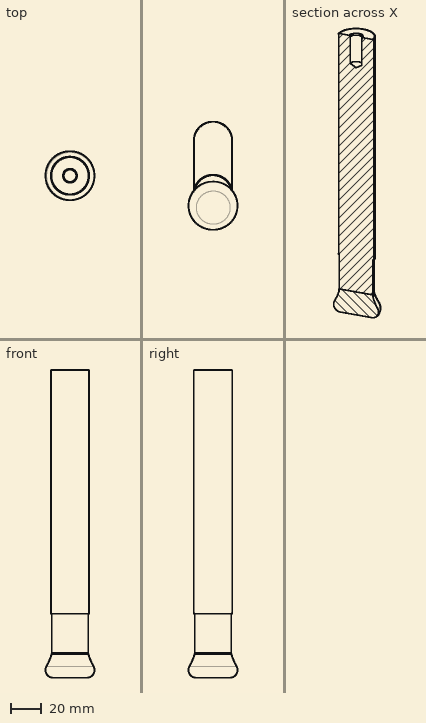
import cadquery as cq
import math

total_height = 200.0

rod_radius = 25.0 / 2
neck_radius = 24.0 / 2
shoulder_height = 41.5
rod_chamfer = rod_radius - neck_radius

hole_radius = 8.0 / 2
countersink_width = 0.5
countersink_depth = 1.0
hole_depth = 20.0
drill_tip_angle = 118.0

foot_height = 16.5
foot_radius = 32.0 / 2
bead_radius = 5.0
bead_top_angle = 30.0
flare_top_height = 15.5


def revolve_profile(profile):
    """Revolve a closed (radius, height) profile about the Z axis."""
    return profile.close().revolve(360, (0, 0, 0), (0, 1, 0))


def make_rod():
    """Rod with a chamfered top, a square shoulder, a neck and a drilled hole."""
    countersink_radius = hole_radius + countersink_width
    hole_bottom = total_height - hole_depth
    tip_depth = hole_radius / math.tan(math.radians(drill_tip_angle / 2))
    return revolve_profile(
        cq.Workplane("XZ")
        .moveTo(0, foot_height)
        .lineTo(neck_radius, foot_height)
        .lineTo(neck_radius, shoulder_height)
        .lineTo(rod_radius, shoulder_height)
        .lineTo(rod_radius, total_height - rod_chamfer)
        .lineTo(rod_radius - rod_chamfer, total_height)
        .lineTo(countersink_radius, total_height)
        .lineTo(hole_radius, total_height - countersink_depth)
        .lineTo(hole_radius, hole_bottom)
        .lineTo(0, hole_bottom - tip_depth)
    )


def make_foot():
    """Foot whose bead runs smoothly into a hollow flare and a short collar as wide as the neck."""
    bead_center_radius = foot_radius - bead_radius
    bead_angle = math.radians(bead_top_angle)
    bead_top_radius = bead_center_radius + bead_radius * math.cos(bead_angle)
    bead_top_height = bead_radius * (1 + math.sin(bead_angle))
    return revolve_profile(
        cq.Workplane("XZ")
        .lineTo(bead_center_radius, 0)
        .threePointArc((foot_radius, bead_radius), (bead_top_radius, bead_top_height))
        .tangentArcPoint((neck_radius, flare_top_height), relative=False)
        .lineTo(neck_radius, foot_height)
        .lineTo(0, foot_height)
    )


rod = make_rod()
foot = make_foot()

result = cq.Compound.makeCompound([rod.val(), foot.val()])